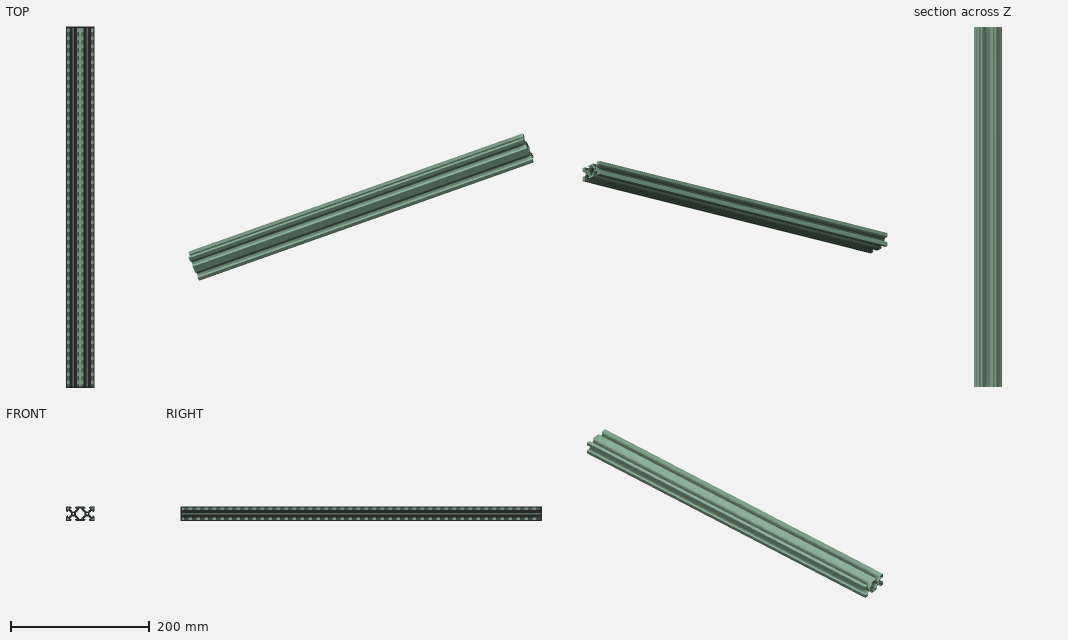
import cadquery as cq
import math

CELL = 20.0
WIDTH = 2 * CELL
LENGTH = 520.0

MOUTH_WIDTH = 9.8
THROAT_WIDTH = 6.2
LIP_THICKNESS = 1.9
CAVITY_WIDTH = 11.0
FLOOR_DEPTH = 7.1

WEB_THICKNESS = 1.5
MIDDLE_WALL = 1.8
BORE_DIAMETER = 4.2

HALF_CELL = CELL / 2
CORE_HALF = HALF_CELL - FLOOR_DEPTH
WEB_OFFSET = WEB_THICKNESS / math.sqrt(2)


def prism(points):
    """Extrude a closed outline in the XZ plane over the full bar length, centred on Y."""
    return cq.Workplane("XZ").polyline(points).close().extrude(LENGTH / 2, both=True)


def mirrored(half):
    """Close a half outline, listed for positive x, with its mirror image across x = 0."""
    return half + [(-x, z) for x, z in reversed(half)]


def slot():
    """V-slot open toward +Z in a cell centred on the origin."""
    mouth = MOUTH_WIDTH / 2
    throat = THROAT_WIDTH / 2
    cavity = CAVITY_WIDTH / 2
    lip_bottom = HALF_CELL - LIP_THICKNESS
    return prism(mirrored([
        (mouth, HALF_CELL),
        (throat, HALF_CELL - (mouth - throat)),
        (throat, lip_bottom),
        (cavity, lip_bottom),
        (cavity, cavity + WEB_OFFSET),
        (CORE_HALF - WEB_OFFSET, CORE_HALF),
    ]))


def hollow():
    """Closed chamber between the two cores, bounded by the 45 degree webs."""
    top = HALF_CELL - LIP_THICKNESS
    neck = HALF_CELL - CAVITY_WIDTH / 2 - MIDDLE_WALL
    upper = [
        (neck, top),
        (neck, HALF_CELL - neck - WEB_OFFSET),
        (HALF_CELL - CORE_HALF, CORE_HALF - WEB_OFFSET),
    ]
    lower = [(x, -z) for x, z in reversed(upper)]
    return prism(mirrored(upper + lower))


def bore():
    """Round hole through a core, along the full length."""
    return cq.Workplane("XZ").circle(BORE_DIAMETER / 2).extrude(LENGTH / 2, both=True)


result = cq.Workplane("XY").box(WIDTH, LENGTH, CELL).cut(hollow())

for side in (-1, 1):
    core_x = side * HALF_CELL
    for angle in (0, 180, side * 90):
        turned_slot = slot().rotate((0, 0, 0), (0, 1, 0), angle)
        result = result.cut(turned_slot.translate((core_x, 0, 0)))
    result = result.cut(bore().translate((core_x, 0, 0)))